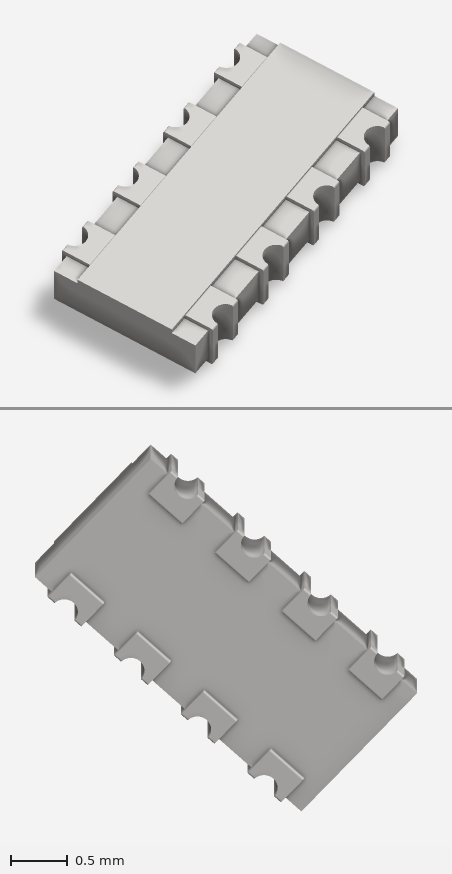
import cadquery as cq


length = 3.2
width = 1.6
height = 0.5

layer = 0.05

body_width = width - 2 * layer
body_height = height - 2 * layer

cover_width = 1.0

terminals_per_side = 4
terminal_pitch = length / terminals_per_side
terminal_width = terminal_pitch / 2
terminal_reach = (width - cover_width) / 2
edge_radius = 0.02

notch_diameter = 0.24


def make_body():
    return cq.Workplane("XY").box(body_width, length, body_height)


def make_cover():
    return (
        cq.Workplane("XY")
        .workplane(offset=body_height / 2)
        .rect(cover_width, length)
        .extrude(layer)
    )


def make_terminal(side, y):
    """Block with rounded lengthwise edges; its core is shared with the body."""
    x = side * (width - terminal_reach) / 2
    return (
        cq.Workplane("XY")
        .box(terminal_reach, terminal_width, height)
        .edges("|Y")
        .fillet(edge_radius)
        .translate((x, y, 0))
    )


def make_notch(side, y):
    return (
        cq.Workplane("XY")
        .center(side * width / 2, y)
        .circle(notch_diameter / 2)
        .extrude(height / 2, both=True)
    )


result = make_body().union(make_cover())
for side in (-1, 1):
    for index in range(terminals_per_side):
        y = (index + 0.5) * terminal_pitch - length / 2
        result = result.union(make_terminal(side, y))
        result = result.cut(make_notch(side, y))